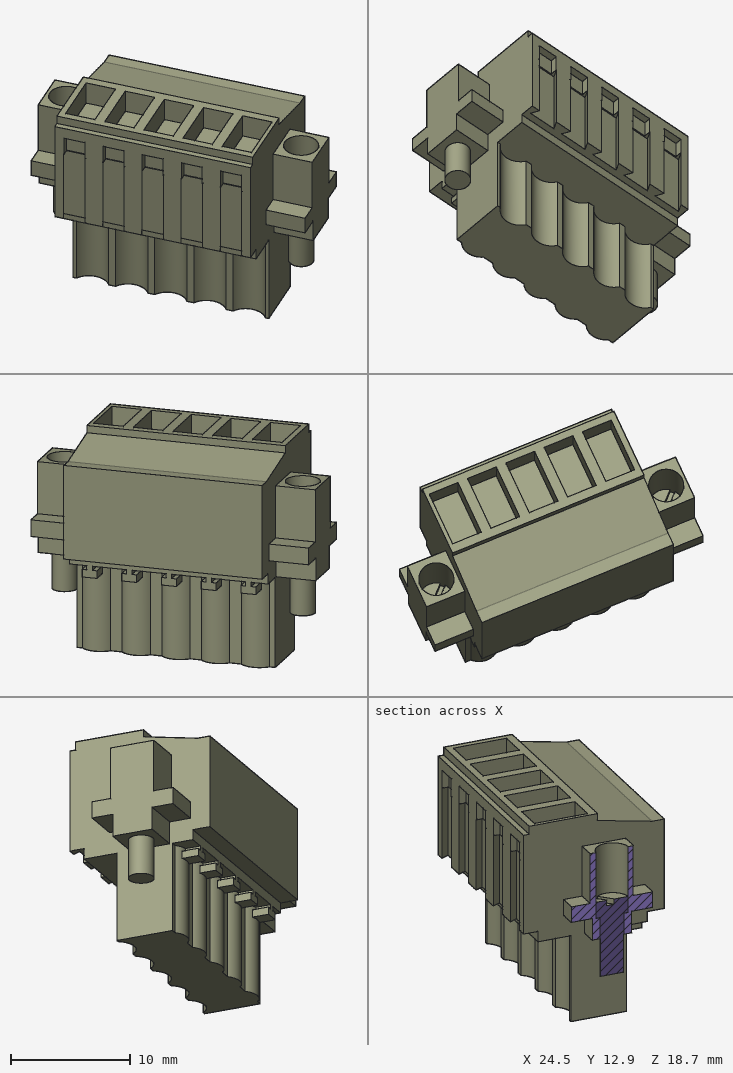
import cadquery as cq
import math


LENGTH = 24.5
POLES = 5
PITCH = LENGTH / (POLES + 2)
BODY_LENGTH = POLES * PITCH
POLE_XS = [(i - (POLES - 1) / 2) * PITCH for i in range(POLES)]
SCREW_XS = [-(POLES + 1) / 2 * PITCH, (POLES + 1) / 2 * PITCH]

TOP_Z = 18.7
BACK_Y = 5.51
FRONT_Y = -7.4
BOTTOM_Z = 7.91
BACK_TOP_Z = 17.05
SLOPE_LOW_Y = 4.39
SLOPE_HIGH_Y = -0.61
SLOPE_HIGH_Z = 18.05
SHOULDER_Y = -6.88
SHOULDER_Z = 17.95
BACK_STEP_Y = 3.95
BACK_STEP_Z = 8.82
FRONT_STEP_Y = -6.08
FRONT_STEP_Z = 8.87

PLUG_BACK_Y = 2.05
PLUG_FRONT_Y = -3.06
SCALLOP_WIDTH = 2.9
SCALLOP_DEPTH = 0.8
ARC_RADIUS = ((SCALLOP_WIDTH / 2) ** 2 + SCALLOP_DEPTH**2) / (2 * SCALLOP_DEPTH)
BULGE_HEIGHT = 0.55
BULGE_WIDTH = 2 * math.sqrt(2 * ARC_RADIUS * BULGE_HEIGHT - BULGE_HEIGHT**2)

FLANGE_TOP_Z = 15.95
WING_TOP_Z = 11.37
WING_BOTTOM_Z = 9.9
WING_HALF_DEPTH = 3.72
FLANGE_BACK_Y = 1.95
FLANGE_FRONT_Y = -2.03
FOOT_HALF_DEPTH = 1.81

HEAD_DIAMETER = 2.95
HEAD_TOP_Z = WING_TOP_Z
HEAD_BOTTOM_Z = WING_BOTTOM_Z
SHANK_DIAMETER = 2.15
SHANK_END_Z = 4.43
DRIVE_SLOT_WIDTH = 0.45
DRIVE_SLOT_DEPTH = 0.5
DRIVE_SLOT_ANGLE = 45

POCKET_WIDTH = 2.62
POCKET_BACK_Y = -1.37
POCKET_FRONT_Y = -6.25
POCKET_OFFSET_X = 0.1
PUSHER_TOP_Z = TOP_Z - 2.03
PUSHER_BOTTOM_Z = 9.8

WINDOW_WIDTH = 1.85
WINDOW_TOP_Z = 16.98
WINDOW_BOTTOM_Z = 15.34
WINDOW_DEPTH = 0.61
GROOVE_MOUTH_WIDTH = 1.9
GROOVE_FLOOR_WIDTH = 2.62
GROOVE_DEPTH = 0.7

LATCH_NECK_WIDTH = 0.5
LATCH_HEAD_WIDTH = 1.32
LATCH_HEAD_TOP_Z = 7.55
LATCH_BOTTOM_Z = 6.88


def box(x_range, y_range, z_range):
    """Axis-aligned box between the given limits."""
    size = [high - low for low, high in (x_range, y_range, z_range)]
    corner = (x_range[0], y_range[0], z_range[0])
    return cq.Workplane("XY").box(*size, centered=False).translate(corner)


def centred_box(x, width, y_range, z_range):
    """Box of the given width, centred on x."""
    return box((x - width / 2, x + width / 2), y_range, z_range)


def cylinder(x, diameter, bottom_z, top_z):
    """Upright cylinder on the screw plane Y = 0."""
    return (
        cq.Workplane("XY", origin=(x, 0, bottom_z))
        .circle(diameter / 2)
        .extrude(top_z - bottom_z)
    )


def block():
    """Main block: its YZ outline extruded along X."""
    outline = [
        (BACK_Y, BACK_STEP_Z),
        (BACK_Y, BACK_TOP_Z),
        (SLOPE_LOW_Y, BACK_TOP_Z),
        (SLOPE_HIGH_Y, SLOPE_HIGH_Z),
        (SLOPE_HIGH_Y, TOP_Z),
        (SHOULDER_Y, TOP_Z),
        (SHOULDER_Y, SHOULDER_Z),
        (FRONT_Y, SHOULDER_Z),
        (FRONT_Y, FRONT_STEP_Z),
        (FRONT_STEP_Y, FRONT_STEP_Z),
        (FRONT_STEP_Y, BOTTOM_Z),
        (BACK_STEP_Y, BOTTOM_Z),
        (BACK_STEP_Y, BACK_STEP_Z),
    ]
    return cq.Workplane("YZ").polyline(outline).close().extrude(BODY_LENGTH / 2, both=True)


def plug():
    """Plug with an arc bowed toward +Y at each pole, on both long sides."""
    half_length = BODY_LENGTH / 2
    half_scallop = SCALLOP_WIDTH / 2
    half_bulge = BULGE_WIDTH / 2
    outline = cq.Workplane("XY").moveTo(-half_length, PLUG_FRONT_Y)
    for x in POLE_XS:
        outline = outline.lineTo(x - half_scallop, PLUG_FRONT_Y).threePointArc(
            (x, PLUG_FRONT_Y + SCALLOP_DEPTH), (x + half_scallop, PLUG_FRONT_Y)
        )
    outline = outline.lineTo(half_length, PLUG_FRONT_Y).lineTo(half_length, PLUG_BACK_Y)
    for x in reversed(POLE_XS):
        outline = outline.lineTo(x + half_bulge, PLUG_BACK_Y).threePointArc(
            (x, PLUG_BACK_Y + BULGE_HEIGHT), (x - half_bulge, PLUG_BACK_Y)
        )
    return outline.lineTo(-half_length, PLUG_BACK_Y).close().extrude(BOTTOM_Z)


def flange(x):
    """Cross-shaped flange, one pitch long."""
    column = centred_box(x, PITCH, (FLANGE_FRONT_Y, FLANGE_BACK_Y), (WING_BOTTOM_Z, FLANGE_TOP_Z))
    wings = centred_box(x, PITCH, (-WING_HALF_DEPTH, WING_HALF_DEPTH), (WING_BOTTOM_Z, WING_TOP_Z))
    foot = centred_box(x, PITCH, (-FOOT_HALF_DEPTH, FOOT_HALF_DEPTH), (BOTTOM_Z, WING_BOTTOM_Z))
    return column.union(wings).union(foot)


def screw_hole(x):
    """Counterbored hole that seats a flange screw."""
    head_bore = cylinder(x, HEAD_DIAMETER, HEAD_BOTTOM_Z, FLANGE_TOP_Z)
    shank_bore = cylinder(x, SHANK_DIAMETER, BOTTOM_Z, HEAD_BOTTOM_Z)
    return head_bore.union(shank_bore)


def pusher_space(x, top_z):
    """Pocket section at a pole, from the pusher's underside up to top_z."""
    return centred_box(
        x + POCKET_OFFSET_X,
        POCKET_WIDTH,
        (POCKET_FRONT_Y, POCKET_BACK_Y),
        (PUSHER_BOTTOM_Z, top_z),
    )


def window(x):
    """Rectangular recess in the front face."""
    return centred_box(
        x, WINDOW_WIDTH, (FRONT_Y, FRONT_Y + WINDOW_DEPTH), (WINDOW_BOTTOM_Z, WINDOW_TOP_Z)
    )


def coding_groove(x):
    """Dovetail groove below the window, open at the front step."""
    floor_y = FRONT_Y + GROOVE_DEPTH
    section = [
        (x - GROOVE_MOUTH_WIDTH / 2, FRONT_Y),
        (x + GROOVE_MOUTH_WIDTH / 2, FRONT_Y),
        (x + GROOVE_FLOOR_WIDTH / 2, floor_y),
        (x - GROOVE_FLOOR_WIDTH / 2, floor_y),
    ]
    return (
        cq.Workplane("XY", origin=(0, 0, FRONT_STEP_Z))
        .polyline(section)
        .close()
        .extrude(WINDOW_BOTTOM_Z - FRONT_STEP_Z)
    )


def latch(x):
    """T-shaped latch hanging from the block, joined to the plug's back."""
    depth = (PLUG_BACK_Y, BACK_STEP_Y)
    neck = centred_box(x, LATCH_NECK_WIDTH, depth, (LATCH_HEAD_TOP_Z, BOTTOM_Z))
    head = centred_box(x, LATCH_HEAD_WIDTH, depth, (LATCH_BOTTOM_Z, LATCH_HEAD_TOP_Z))
    return neck.union(head)


def make_housing():
    """Housing with its plug, flanges, latches and all recesses."""
    housing = block().union(plug())
    for x in SCREW_XS:
        housing = housing.union(flange(x)).cut(screw_hole(x))
    for x in POLE_XS:
        housing = housing.union(latch(x))
        housing = housing.cut(pusher_space(x, TOP_Z))
        housing = housing.cut(window(x)).cut(coding_groove(x))
    return housing


def make_screw(x):
    """Slotted flange screw."""
    head = cylinder(x, HEAD_DIAMETER, HEAD_BOTTOM_Z, HEAD_TOP_Z)
    shank = cylinder(x, SHANK_DIAMETER, SHANK_END_Z, HEAD_BOTTOM_Z)
    drive_slot = (
        cq.Workplane("XY", origin=(x, 0, HEAD_TOP_Z))
        .transformed(rotate=(0, 0, DRIVE_SLOT_ANGLE))
        .rect(2 * HEAD_DIAMETER, DRIVE_SLOT_WIDTH)
        .extrude(-DRIVE_SLOT_DEPTH)
    )
    return head.union(shank).cut(drive_slot)


def make_pusher(x):
    """Pusher block filling the lower part of its pocket."""
    return pusher_space(x, PUSHER_TOP_Z)


housing = make_housing()
screws = [make_screw(x) for x in SCREW_XS]
pushers = [make_pusher(x) for x in POLE_XS]

result = cq.Compound.makeCompound(
    [housing.val(), *[screw.val() for screw in screws], *[pusher.val() for pusher in pushers]]
)